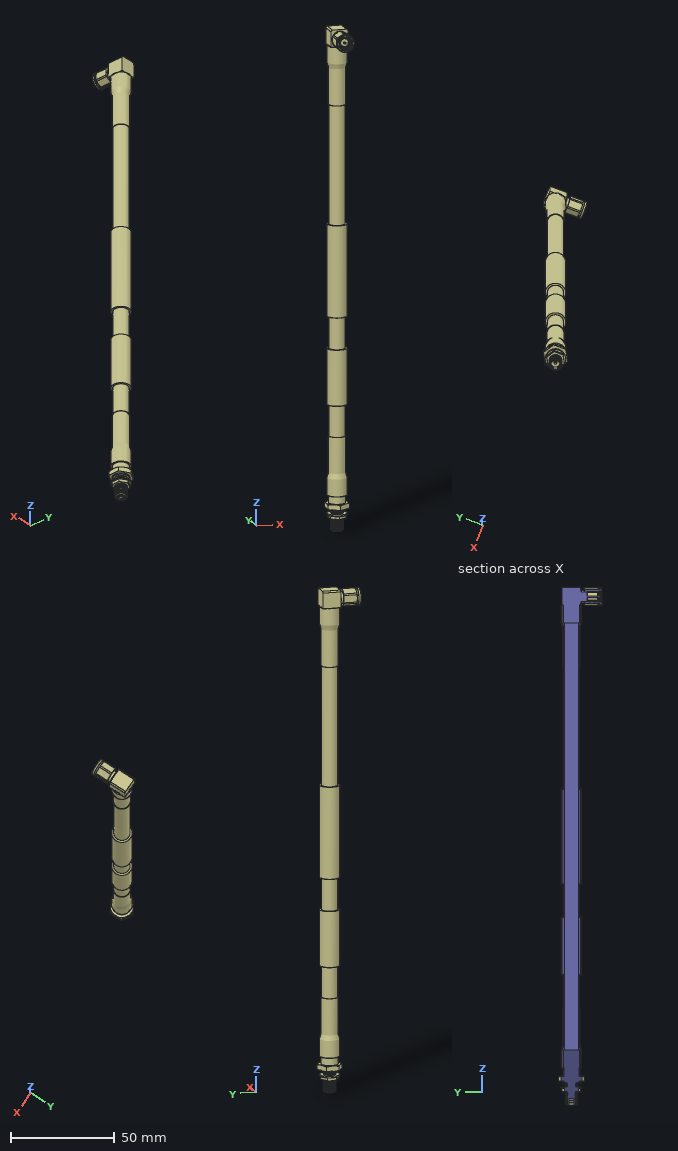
import cadquery as cq
import math

total_height = 250.75

cable_dia = 8.0
tube_dia = 10.0
short_sleeve_bottom = 63.0
short_sleeve_length = 28.0
long_sleeve_bottom = 107.0
long_sleeve_length = 46.0

ferrule_dia = 8.4
boot_tail_dia = 8.5
boot_length = 29.5
boot_wide_length = 8.6
boot_taper_length = 2.6

jack_boot_gap = 3.8
flange_flats = 11.0
flange_top = 14.0
flange_thickness = 2.6
shoulder_dia = 8.6
shoulder_thickness = 0.7
flange_chamfer_height = 0.4
flange_chamfer_width = 0.7
thread_dia = 6.25
thread_pitch = 25.4 / 36
thread_depth = 0.4
tip_chamfer = 0.5
washer_dia = 10.0
washer_top = 8.8
washer_thickness = 0.8
jam_nut_flats = 8.0
jam_nut_thickness = 1.6
jack_bore_dia = 4.6
jack_bore_depth = 3.0
jack_socket_dia = 1.3
jack_socket_depth = 2.0

block_height = 8.65
block_width = 8.8
block_back = 4.6
block_front = -4.5
block_chamfer = 0.75
neck_collar_dia = 7.6
neck_collar_length = 0.3
neck_dia = 6.2
plug_axis_depth = 4.6
plug_insulator_dia = 4.1
plug_insulator_setback = 2.2
plug_pin_dia = 0.9
plug_pin_setback = 1.0

coupling_flats = 8.0
coupling_back = -6.2
coupling_front = -14.9
coupling_rear_wall = 1.5
coupling_thread_dia = 6.4
coupling_mouth_chamfer = 0.3
coupling_hex_length = 6.6
coupling_ring_dia = 8.8
coupling_groove_dia = 8.0
coupling_groove_width = 0.8

hex_corner_ratio = 1 / math.cos(math.pi / 6)
jack_boot_bottom = flange_top + jack_boot_gap
jack_ferrule_top = jack_boot_bottom + boot_wide_length
plug_axis_height = total_height - plug_axis_depth
block_bottom = total_height - block_height
plug_ferrule_bottom = block_bottom - boot_wide_length
flange_bottom = flange_top - flange_thickness
thread_top = flange_bottom - shoulder_thickness


def cylinder(dia, bottom, top):
    """Solid cylinder on the Z axis."""
    return cq.Workplane("XY").workplane(offset=bottom).circle(dia / 2).extrude(top - bottom)


def hexagon(flats, bottom, top):
    """Hexagonal prism on the Z axis with flats facing +X and -X and corners on Y."""
    prism = cq.Workplane("XY").polygon(6, flats * hex_corner_ratio).extrude(top - bottom)
    return prism.rotate((0, 0, 0), (0, 0, 1), 90).translate((0, 0, bottom))


def to_plug_axis(shape):
    """Turn a shape built on Z onto the plug axis: its +Z becomes -Y."""
    return shape.rotate((0, 0, 0), (1, 0, 0), 90).translate((0, 0, plug_axis_height))


def threaded_rod(dia, bottom, top):
    """Rod on the Z axis whose thread is a stack of V grooves, starting after a chamfer at the bottom."""
    radius = dia / 2
    profile = [(0, bottom), (radius - tip_chamfer, bottom), (radius, bottom + tip_chamfer)]
    groove_count = math.floor((top - bottom - tip_chamfer) / thread_pitch)
    for index in range(groove_count):
        start = bottom + tip_chamfer + index * thread_pitch
        profile.append((radius - thread_depth, start + thread_pitch / 2))
        profile.append((radius, start + thread_pitch))
    profile += [(radius, top), (0, top)]
    return cq.Workplane("XZ").polyline(profile).close().revolve(360, (0, 0), (0, 1))


def make_cable():
    return cylinder(cable_dia, jack_ferrule_top, plug_ferrule_bottom)


def make_sleeve(bottom, length):
    return cylinder(tube_dia, bottom, bottom + length).cut(cylinder(cable_dia, bottom, bottom + length))


def make_boot():
    """Boot with its wide end at Z = 0 and its tail pointing up."""
    taper_end = boot_wide_length + boot_taper_length
    profile = [
        (ferrule_dia / 2, 0),
        (tube_dia / 2, 0),
        (tube_dia / 2, boot_wide_length),
        (boot_tail_dia / 2, taper_end),
        (boot_tail_dia / 2, boot_length),
        (cable_dia / 2, boot_length),
        (cable_dia / 2, boot_wide_length),
        (ferrule_dia / 2, boot_wide_length),
    ]
    return cq.Workplane("XZ").polyline(profile).close().revolve(360, (0, 0), (0, 1))


def make_flange():
    """Hexagonal flange with its corners chamfered towards the cable."""
    disc = cylinder(flange_flats * hex_corner_ratio, flange_bottom, flange_top)
    disc = disc.faces(">Z").chamfer(flange_chamfer_height, flange_chamfer_width)
    return hexagon(flange_flats, flange_bottom, flange_top).intersect(disc)


def make_jack():
    """Ferrule, flange and threaded barrel, with the washer and jam nut as part of the barrel."""
    washer_bottom = washer_top - washer_thickness
    jack = threaded_rod(thread_dia, 0, thread_top)
    jack = jack.union(cylinder(shoulder_dia, thread_top, flange_bottom))
    jack = jack.union(make_flange())
    jack = jack.union(cylinder(ferrule_dia, flange_top, jack_ferrule_top))
    jack = jack.union(cylinder(washer_dia, washer_bottom, washer_top))
    jack = jack.union(hexagon(jam_nut_flats, washer_bottom - jam_nut_thickness, washer_bottom))
    jack = jack.cut(cylinder(jack_bore_dia, 0, jack_bore_depth))
    return jack.cut(cylinder(jack_socket_dia, jack_bore_depth, jack_bore_depth + jack_socket_depth))


def make_plug():
    """Chamfered block on a ferrule, with the neck, insulator and pin reaching into the coupling nut."""
    block = (
        cq.Workplane("XY")
        .box(block_width, block_back - block_front, block_height, centered=(True, False, False))
        .translate((0, block_front, block_bottom))
        .faces(">Z").edges("|Y").chamfer(block_chamfer)
    )
    ferrule = cylinder(ferrule_dia, plug_ferrule_bottom, block_bottom)
    collar = cylinder(neck_collar_dia, -block_front, -block_front + neck_collar_length)
    neck = cylinder(neck_dia, -block_front, -coupling_back + coupling_rear_wall)
    insulator = cylinder(plug_insulator_dia, -block_front, -coupling_front - plug_insulator_setback)
    pin = cylinder(plug_pin_dia, -block_front, -coupling_front - plug_pin_setback)
    interface = collar.union(neck).union(insulator).union(pin)
    return block.union(ferrule).union(to_plug_axis(interface))


def make_coupling_nut():
    """Hexagonal nut with a groove and a round ring at its open end."""
    back = -coupling_back
    front = -coupling_front
    hex_end = back + coupling_hex_length
    ring_start = hex_end + coupling_groove_width
    nut = hexagon(coupling_flats, back, hex_end)
    nut = nut.intersect(cylinder(coupling_ring_dia, back, hex_end))
    nut = nut.union(cylinder(coupling_groove_dia, hex_end, ring_start))
    nut = nut.union(cylinder(coupling_ring_dia, ring_start, front))
    nut = nut.cut(cylinder(neck_dia, back, back + coupling_rear_wall))
    nut = nut.cut(threaded_rod(coupling_thread_dia, back + coupling_rear_wall, front))
    nut = nut.faces(">Z").chamfer(coupling_mouth_chamfer)
    return to_plug_axis(nut)


cable = make_cable()
sleeves = [
    make_sleeve(bottom, length)
    for bottom, length in (
        (short_sleeve_bottom, short_sleeve_length),
        (long_sleeve_bottom, long_sleeve_length),
    )
]
boots = [
    make_boot().translate((0, 0, jack_boot_bottom)),
    make_boot().rotate((0, 0, 0), (0, 1, 0), 180).translate((0, 0, block_bottom)),
]
jack = make_jack()
plug = make_plug()
coupling_nut = make_coupling_nut()

result = cq.Compound.makeCompound(
    [cable.val()]
    + [sleeve.val() for sleeve in sleeves]
    + [boot.val() for boot in boots]
    + [jack.val(), plug.val(), coupling_nut.val()]
)